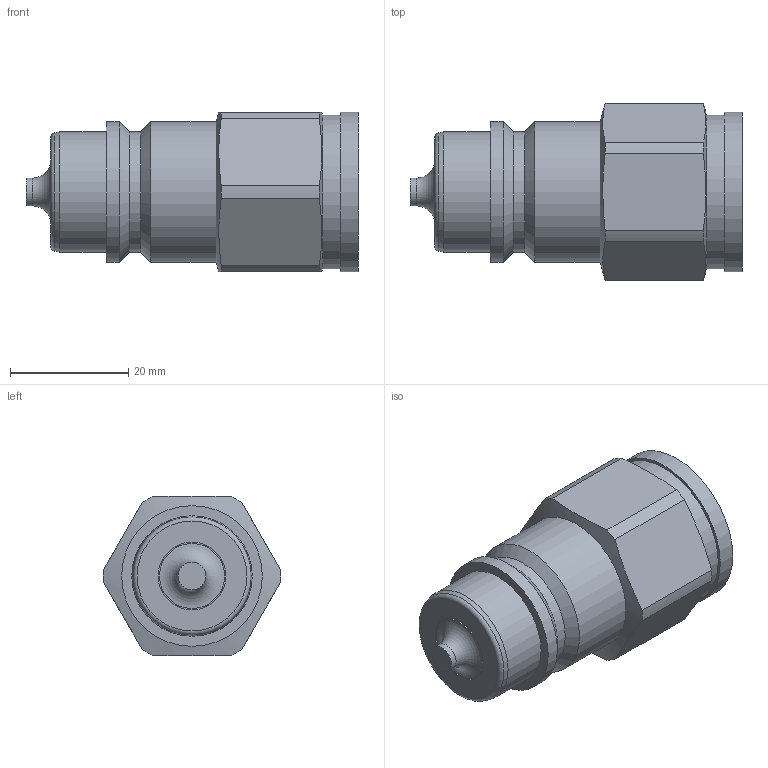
import cadquery as cq
import math

overall_length = 56.2
tip_length = 1.1
nose_face_setback = 4.2
nose_fillet = 0.7
nose_taper_length = 0.8
nose_end = 13.6
collar_width = 2.2
groove_floor = 1.9
groove_flank = 1.7
hex_start = 32.2
hex_end = 50.2
flange_width = 3.0
flange_start = overall_length - flange_width

tip_diameter = 4.7
poppet_diameter = 11.0
poppet_bore_diameter = 11.46
nose_diameter = 20.4
nose_taper_drop = 0.2
collar_diameter = 23.8
neck_diameter = 26.0
flange_diameter = 27.0

across_flats = 27.0
across_corners = 30.0
hex_chamfer_angle = 15.0
flat_half_angle = 30.0

gap_depth = 0.3
gap_floor = nose_face_setback + gap_depth


def nose_and_barrel():
    """Turned front end: nose, collar, locking groove and barrel up to the hexagon."""
    nose_radius = nose_diameter / 2
    collar_radius = collar_diameter / 2
    taper_start_radius = nose_radius - nose_taper_drop
    taper_start = nose_face_setback + nose_fillet
    taper_end = taper_start + nose_taper_length
    collar_end = nose_end + collar_width
    floor_start = collar_end + groove_flank
    floor_end = floor_start + groove_floor
    barrel_start = floor_end + groove_flank
    fillet_centre_radius = taper_start_radius - nose_fillet
    diagonal = nose_fillet * math.sqrt(0.5)
    return (
        cq.Workplane("XY")
        .moveTo(nose_face_setback, 0)
        .lineTo(nose_face_setback, fillet_centre_radius)
        .threePointArc(
            (taper_start - diagonal, fillet_centre_radius + diagonal),
            (taper_start, taper_start_radius),
        )
        .lineTo(taper_end, nose_radius)
        .lineTo(nose_end, nose_radius)
        .lineTo(nose_end, collar_radius)
        .lineTo(collar_end, collar_radius)
        .lineTo(floor_start, nose_radius)
        .lineTo(floor_end, nose_radius)
        .lineTo(barrel_start, collar_radius)
        .lineTo(hex_end, collar_radius)
        .lineTo(hex_end, 0)
        .close()
        .revolve(360, (0, 0, 0), (1, 0, 0))
    )


def poppet():
    """Valve poppet: short cylindrical tip flaring out in a concave quarter round."""
    tip_radius = tip_diameter / 2
    poppet_radius = poppet_diameter / 2
    flare_radius = poppet_radius - tip_radius
    flare_end = tip_length + flare_radius
    diagonal = flare_radius * math.sqrt(0.5)
    return (
        cq.Workplane("XY")
        .lineTo(0, tip_radius)
        .lineTo(tip_length, tip_radius)
        .threePointArc(
            (tip_length + diagonal, poppet_radius - diagonal),
            (flare_end, poppet_radius),
        )
        .lineTo(gap_floor, poppet_radius)
        .lineTo(gap_floor, 0)
        .close()
        .revolve(360, (0, 0, 0), (1, 0, 0))
    )


def cylinder(start, end, diameter):
    """Cylinder on the X axis between two positions."""
    return cq.Workplane("YZ").workplane(offset=start).circle(diameter / 2).extrude(end - start)


def hexagon():
    """Hexagon with corners on the Y axis, rounded to a circle and chamfered at both ends."""
    sharp_corners = across_flats / math.cos(math.radians(flat_half_angle))
    prism = (
        cq.Workplane("YZ")
        .workplane(offset=hex_start)
        .polygon(6, sharp_corners)
        .extrude(hex_end - hex_start)
    )
    corner_radius = across_corners / 2
    front_radius = collar_diameter / 2
    rear_radius = neck_diameter / 2
    slope = math.tan(math.radians(hex_chamfer_angle))
    blank = (
        cq.Workplane("XY")
        .moveTo(hex_start, 0)
        .lineTo(hex_start, front_radius)
        .lineTo(hex_start + (corner_radius - front_radius) * slope, corner_radius)
        .lineTo(hex_end - (corner_radius - rear_radius) * slope, corner_radius)
        .lineTo(hex_end, rear_radius)
        .lineTo(hex_end, 0)
        .close()
        .revolve(360, (0, 0, 0), (1, 0, 0))
    )
    return prism.intersect(blank)


result = nose_and_barrel()
result = result.union(hexagon())
result = result.union(cylinder(hex_end, flange_start, neck_diameter))
result = result.union(cylinder(flange_start, overall_length, flange_diameter))
result = result.cut(cylinder(nose_face_setback, gap_floor, poppet_bore_diameter))
result = result.union(poppet())